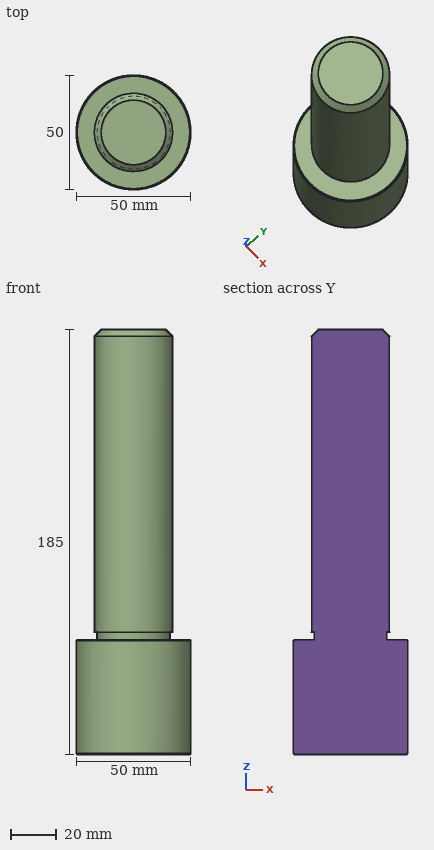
import cadquery as cq

total_height = 185.0
head_diameter = 50.0
head_height = 50.0
head_edge_chamfer = 0.5

shaft_diameter = 34.0
shaft_tip_chamfer = 3.0
neck_diameter = 31.8
neck_height = 3.3


def cylinder(diameter, bottom, height):
    """Upright cylinder on the Z axis."""
    return cq.Workplane("XY").workplane(offset=bottom).circle(diameter / 2).extrude(height)


head = cylinder(head_diameter, 0, head_height).edges().chamfer(head_edge_chamfer)

neck = cylinder(neck_diameter, head_height, neck_height)

shaft_bottom = head_height + neck_height
shaft = cylinder(shaft_diameter, shaft_bottom, total_height - shaft_bottom)
shaft = shaft.faces(">Z").edges().chamfer(shaft_tip_chamfer)

result = head.union(neck).union(shaft)